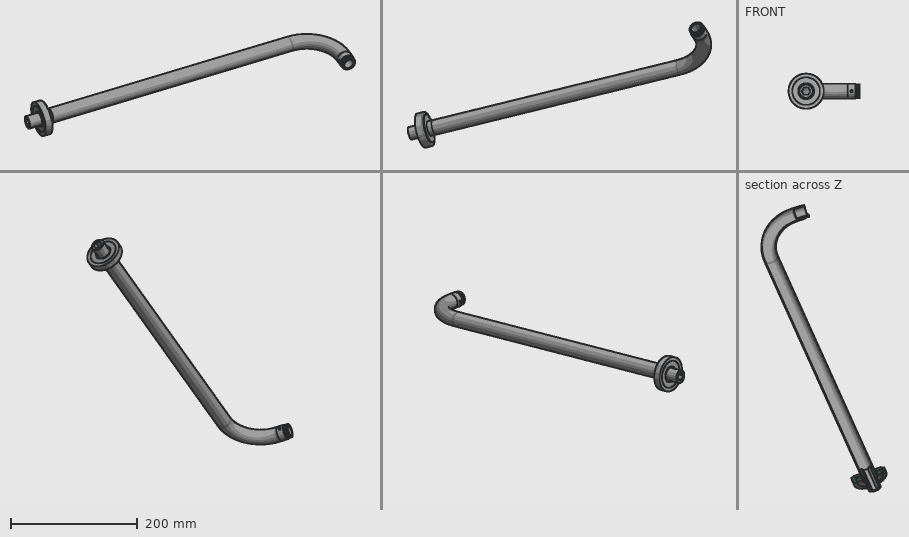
import cadquery as cq

tube_radius = 11.95
tube_bore_radius = 10.35
tube_back_y = 1.5
bend_radius = 64.0
overall_length = 531.5
nipple_reach = 19.0
bend_start_y = overall_length - nipple_reach - bend_radius - tube_radius
outlet_y = bend_start_y + bend_radius
tube_end_x = 77.5

flange_radius = 27.9
flange_thickness = 14.0
flange_fillet = 1.5
flange_rim_thickness = 12.0
flange_step_radius = 23.0
disc_radius = 22.0
disc_back_y = 0.5
disc_front_y = 8.5
disc_bore_radius = 13.0

nipple_depth = 21.0
hex_across_corners = 14.0

outlet_end_x = 84.25
outlet_rim_radius = 11.0
outlet_groove_radius = 10.35
outlet_bore_radius = 8.0
outlet_depth = 11.5
rim_width = 2.0

screw_radius = 1.85
screw_x = 72.0
screw_recess = 0.25


def rod_y(radius, start, end):
    """Solid cylinder on the straight arm's axis."""
    return cq.Workplane("XZ", origin=(0, start, 0)).circle(radius).extrude(start - end)


def rod_x(radius, start, end):
    """Solid cylinder on the outlet axis."""
    return cq.Workplane("YZ", origin=(start, outlet_y, 0)).circle(radius).extrude(end - start)


def screw_rod(start, end):
    """Cylinder on the grub screw axis, between two Y positions."""
    return (
        cq.Workplane("XZ", origin=(screw_x, start, 0))
        .circle(screw_radius)
        .extrude(start - end)
    )


def make_tube():
    """Hollow arm: a straight run, a quarter bend and a short straight outlet."""
    path = (
        cq.Workplane("XY")
        .moveTo(0, tube_back_y)
        .lineTo(0, bend_start_y)
        .radiusArc((bend_radius, outlet_y), bend_radius)
        .lineTo(tube_end_x, outlet_y)
    )
    section = cq.Workplane("XZ", origin=(0, tube_back_y, 0))
    tube = section.circle(tube_radius).circle(tube_bore_radius).sweep(path)
    return tube.cut(screw_rod(outlet_y - tube_radius, outlet_y - outlet_bore_radius))


def make_flange():
    """Cover plate with a rounded front edge, a low front step and a pocket in its back."""
    flange = rod_y(flange_radius, 0, flange_rim_thickness)
    flange = flange.faces(">Y").edges().fillet(flange_fillet)
    flange = flange.union(rod_y(flange_step_radius, 0, flange_thickness))
    pocket = rod_y(disc_radius, 0, disc_front_y)
    tube_hole = rod_y(tube_radius, 0, flange_thickness)
    return flange.cut(pocket).cut(tube_hole)


def make_backing_disc():
    """Ring in the flange pocket, set just below the flange's back."""
    return rod_y(disc_radius, disc_back_y, disc_front_y).cut(
        rod_y(disc_bore_radius, disc_back_y, disc_front_y)
    )


def make_nipple():
    """Straight nipple with a hexagonal passage."""
    nipple = rod_y(tube_bore_radius, -nipple_reach, nipple_depth)
    passage = (
        cq.Workplane("XZ", origin=(0, -nipple_reach, 0))
        .polygon(6, hex_across_corners)
        .extrude(-(nipple_reach + nipple_depth))
    )
    return nipple.cut(passage)


def make_outlet_insert():
    """Hollow spigot ending in two rims with a groove between them."""
    insert_start_x = tube_end_x - outlet_depth
    insert = rod_x(tube_bore_radius, insert_start_x, tube_end_x)
    insert = insert.union(rod_x(outlet_groove_radius, tube_end_x, outlet_end_x))
    for rim_x in (tube_end_x, outlet_end_x - rim_width):
        insert = insert.union(rod_x(outlet_rim_radius, rim_x, rim_x + rim_width))
    insert = insert.cut(rod_x(outlet_bore_radius, insert_start_x, outlet_end_x))
    return insert.cut(screw_rod(outlet_y - tube_radius, outlet_y - outlet_bore_radius))


def make_grub_screw():
    """Screw set just below the outside of the tube."""
    return screw_rod(outlet_y - tube_radius + screw_recess, outlet_y - outlet_bore_radius)


tube = make_tube()
flange = make_flange()
backing_disc = make_backing_disc()
nipple = make_nipple()
outlet_insert = make_outlet_insert()
grub_screw = make_grub_screw()

result = cq.Compound.makeCompound([
    tube.val(),
    flange.val(),
    backing_disc.val(),
    nipple.val(),
    outlet_insert.val(),
    grub_screw.val(),
])